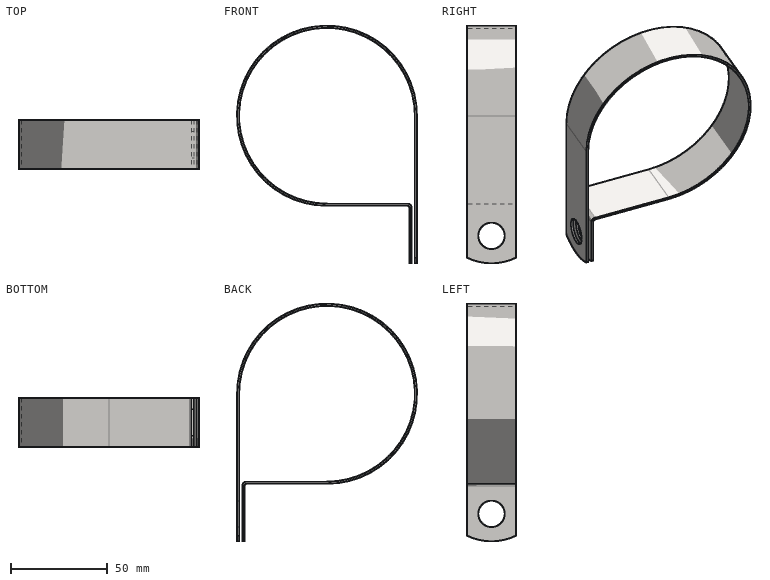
import cadquery as cq
import math

overall_height = 122.6
loop_diameter = 93.0
strap_width = 25.4
thickness = 1.2
tab_gap = 1.6
bend_inner_radius = 1.0
hole_diameter = 13.5
hole_height = 14.2
tab_end_radius = 28.6

outer_radius = loop_diameter / 2
inner_radius = outer_radius - thickness
tab_bottom = outer_radius - overall_height
bend_outer_radius = bend_inner_radius + thickness
short_tab_outer = inner_radius - tab_gap
short_tab_inner = short_tab_outer - thickness
bend_x = short_tab_inner - bend_inner_radius
bend_z = -outer_radius - bend_inner_radius


def loop_midpoint(radius):
    """Point halfway along the three-quarter loop, at its upper left."""
    return (-radius * math.sqrt(0.5), radius * math.sqrt(0.5))


def make_strap():
    """Bent strip: short tab, rounded bend, three-quarter loop and long tab."""
    profile = (
        cq.Workplane("XZ", origin=(0, strap_width / 2, 0))
        .moveTo(outer_radius, tab_bottom)
        .lineTo(outer_radius, 0)
        .threePointArc(loop_midpoint(outer_radius), (0, -outer_radius))
        .lineTo(bend_x, -outer_radius)
        .radiusArc((short_tab_inner, bend_z), bend_inner_radius)
        .lineTo(short_tab_inner, tab_bottom)
        .lineTo(short_tab_outer, tab_bottom)
        .lineTo(short_tab_outer, bend_z)
        .radiusArc((bend_x, -inner_radius), -bend_outer_radius)
        .lineTo(0, -inner_radius)
        .threePointArc(loop_midpoint(inner_radius), (inner_radius, 0))
        .lineTo(inner_radius, tab_bottom)
        .close()
    )
    return profile.extrude(strap_width)


def make_side_outline():
    """Block along X that keeps the strap width and rounds off the tab ends."""
    half_width = strap_width / 2
    end_rise = tab_end_radius - math.sqrt(tab_end_radius**2 - half_width**2)
    return (
        cq.Workplane("YZ", origin=(-outer_radius, 0, 0))
        .moveTo(-half_width, outer_radius)
        .lineTo(-half_width, tab_bottom + end_rise)
        .threePointArc((0, tab_bottom), (half_width, tab_bottom + end_rise))
        .lineTo(half_width, outer_radius)
        .close()
        .extrude(loop_diameter)
    )


def make_bolt_hole():
    """Cylinder along X through both tabs."""
    return (
        cq.Workplane("YZ")
        .center(0, tab_bottom + hole_height)
        .circle(hole_diameter / 2)
        .extrude(loop_diameter)
    )


result = make_strap().intersect(make_side_outline()).cut(make_bolt_hole())